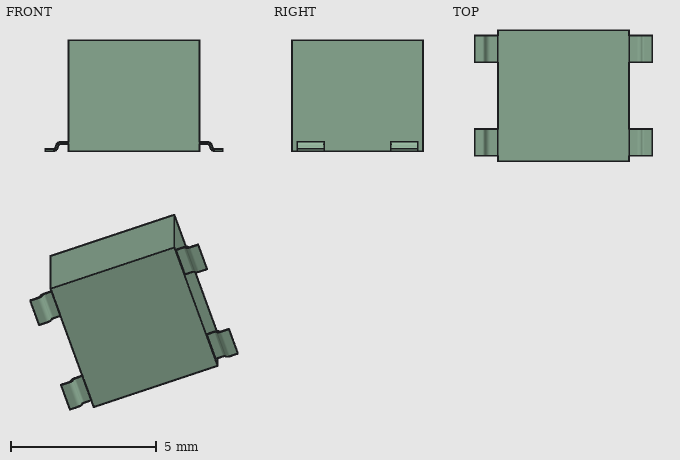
import cadquery as cq
import math

BODY_SIDE = 4.5
BODY_HEIGHT = 3.81

LEAD_SPAN = 6.1
LEAD_WIDTH = 0.93
LEAD_PITCH = 3.21
LEAD_THICKNESS = 0.08
LEAD_RISE = 0.245
FOOT_LENGTH = 0.275
BEND_ANGLE = math.radians(72)
INNER_RADIUS = 0.085
OUTER_RADIUS = INNER_RADIUS + LEAD_THICKNESS


def make_body():
    return cq.Workplane("XY").box(BODY_SIDE, BODY_SIDE, BODY_HEIGHT, centered=(True, True, False))


def bend_point(center, radius, angle):
    """Point (x, z) on a bend circle, with the angle measured from straight down."""
    x, z = center
    return (x + radius * math.sin(angle), z - radius * math.cos(angle))


def make_lead(center_y):
    """Lead on the -X side, from its foot tip to the body wall."""
    tip_x = -LEAD_SPAN / 2
    wall_x = -BODY_SIDE / 2
    top_z = LEAD_RISE + LEAD_THICKNESS

    ramp_rise = LEAD_RISE - (INNER_RADIUS + OUTER_RADIUS) * (1 - math.cos(BEND_ANGLE))
    ramp_run = ramp_rise / math.tan(BEND_ANGLE)
    bends_run = (INNER_RADIUS + OUTER_RADIUS) * math.sin(BEND_ANGLE)

    foot_end_x = tip_x + FOOT_LENGTH
    shoulder_x = foot_end_x + bends_run + ramp_run
    lower_center = (foot_end_x, OUTER_RADIUS)
    upper_center = (shoulder_x, top_z - OUTER_RADIUS)

    def lower(radius, share):
        return bend_point(lower_center, radius, share * BEND_ANGLE)

    def upper(radius, share):
        return bend_point(upper_center, radius, math.pi + share * BEND_ANGLE)

    profile = (
        cq.Workplane("XZ", origin=(0, center_y, 0))
        .moveTo(tip_x, 0)
        .lineTo(foot_end_x, 0)
        .threePointArc(lower(OUTER_RADIUS, 0.5), lower(OUTER_RADIUS, 1))
        .lineTo(*upper(INNER_RADIUS, 1))
        .threePointArc(upper(INNER_RADIUS, 0.5), upper(INNER_RADIUS, 0))
        .lineTo(wall_x, LEAD_RISE)
        .lineTo(wall_x, top_z)
        .lineTo(shoulder_x, top_z)
        .threePointArc(upper(OUTER_RADIUS, 0.5), upper(OUTER_RADIUS, 1))
        .lineTo(*lower(INNER_RADIUS, 1))
        .threePointArc(lower(INNER_RADIUS, 0.5), lower(INNER_RADIUS, 0))
        .lineTo(tip_x, LEAD_THICKNESS)
        .close()
    )
    return profile.extrude(LEAD_WIDTH / 2, both=True)


body = make_body()

leads = []
for lead_y in (-LEAD_PITCH / 2, LEAD_PITCH / 2):
    left_lead = make_lead(lead_y)
    leads.append(left_lead.val())
    leads.append(left_lead.mirror("YZ").val())

result = cq.Compound.makeCompound([body.val(), *leads])